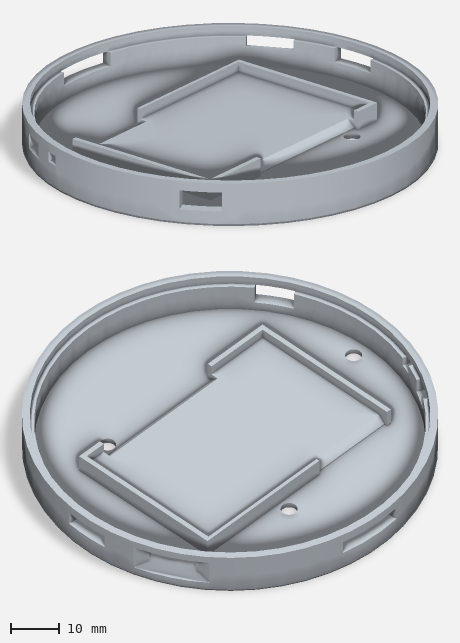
import cadquery as cq
import math

outer_radius = 42.6
height = 9.5
floor_top = 1.2
inner_radius = 80.1 / 2
lip_radius = 40.95
ledge_z = 7.5
bottom_chamfer_height = 0.5
bottom_chamfer_width = 0.25

frame_left, frame_right = -19.6, 16.8
frame_front, frame_back = -27.1, 27.1
frame_wall = 1.1
left_wall = 0.8
frame_top = 5.3
pad_top = 3.0
ramp_foot = 1.45
ramp_run = 1.7
left_gap_back = -6.0
right_gap_front, right_gap_back = -10.9, 20.95

hole_diameter = 3.5
hole_centres = [(0, -36.5), (18.0, 17.45), (-22.05, 5.5)]

wall_openings = [
    (83.2, 96.8, 4.4),
    (166.6, 186.9, 4.4),
    (233.6, 241.8, 4.2),
    (248.2, 252.0, 5.4),
    (294.8, 306.6, 3.3),
]

plug_angle = 117.2
plug_outer_width = 16.2
plug_inner_width = 10.0
plug_outer_bottom, plug_outer_top = 2.3, 7.9
plug_inner_bottom = 5.45
plug_throat_distance = 41.0
plug_sill_distance = 40.5
clearance = 0.85


def box(x_range, y_range, z_range):
    """Axis-aligned block between the given limits."""
    size = [limits[1] - limits[0] for limits in (x_range, y_range, z_range)]
    corner = (x_range[0], y_range[0], z_range[0])
    return cq.Workplane("XY").box(*size, centered=False).translate(corner)


def make_tray():
    """Shallow tray with a stepped rim and a chamfered lower edge."""
    profile = [
        (0, 0),
        (outer_radius - bottom_chamfer_width, 0),
        (outer_radius, bottom_chamfer_height),
        (outer_radius, height),
        (lip_radius, height),
        (lip_radius, ledge_z),
        (inner_radius, ledge_z),
        (inner_radius, floor_top),
        (0, floor_top),
    ]
    return cq.Workplane("XZ").polyline(profile).close().revolve(360, (0, 0), (0, 1))


def pad_ramp(edge_x, outward, y_range):
    """Cutter that slopes the pad from its top at the inside down to a small step at the floor."""
    outside_x = edge_x + outward * (frame_wall + clearance)
    profile = [
        (edge_x - outward * ramp_run, pad_top),
        (edge_x, ramp_foot),
        (edge_x, floor_top),
        (outside_x, floor_top),
        (outside_x, frame_top + clearance),
        (edge_x - outward * ramp_run, frame_top + clearance),
    ]
    cutter = cq.Workplane("XZ").polyline(profile).close().extrude(y_range[0] - y_range[1])
    return cutter.translate((0, y_range[0], 0))


def make_frame():
    """Frame and raised pad, opened by a ramp on the left and on the right."""
    inner_left = frame_left + left_wall
    inner_right = frame_right - frame_wall
    inner_front = frame_front + frame_wall
    inner_back = frame_back - frame_wall
    block = box((frame_left, frame_right), (frame_front, frame_back), (0, frame_top))
    recess = box((inner_left, inner_right), (inner_front, inner_back), (pad_top, frame_top))
    left_ramp = pad_ramp(inner_left, -1, (inner_front, left_gap_back))
    right_ramp = pad_ramp(inner_right, 1, (right_gap_front, right_gap_back))
    return block.cut(recess).cut(left_ramp).cut(right_ramp)


def wall_opening(start_angle, end_angle, sill):
    """Sector through the wall, from its sill up to the ledge height."""
    inside_radius = inner_radius - clearance
    outside_radius = outer_radius + clearance
    return (
        cq.Workplane("XZ")
        .moveTo(inside_radius, sill)
        .lineTo(outside_radius, sill)
        .lineTo(outside_radius, ledge_z)
        .lineTo(inside_radius, ledge_z)
        .close()
        .revolve(end_angle - start_angle, (0, 0), (0, 1))
        .rotate((0, 0, 0), (0, 0, 1), start_angle)
    )


def plug_section(distance, width, bottom, top):
    """Rectangle facing +X at the given distance from the tray axis."""
    corners = [(distance, y, z) for y, z in (
        (-width / 2, bottom),
        (width / 2, bottom),
        (width / 2, top),
        (-width / 2, top),
    )]
    return cq.Wire.makePolygon([cq.Vector(*corner) for corner in corners], close=True)


def make_plug_opening():
    """Recess flaring outwards, with a sill sloping up towards the inside."""
    mouth_distance = math.sqrt(outer_radius**2 - (plug_outer_width / 2) ** 2)
    inside_distance = math.sqrt(inner_radius**2 - (plug_inner_width / 2) ** 2)
    sill_slope = (plug_inner_bottom - plug_outer_bottom) / (mouth_distance - plug_sill_distance)
    throat_bottom = plug_inner_bottom - sill_slope * (plug_throat_distance - plug_sill_distance)
    outside = plug_section(
        outer_radius + clearance, plug_outer_width, plug_outer_bottom, plug_outer_top
    )
    mouth = plug_section(mouth_distance, plug_outer_width, plug_outer_bottom, plug_outer_top)
    throat = plug_section(plug_throat_distance, plug_inner_width, throat_bottom, ledge_z)
    sill = plug_section(plug_sill_distance, plug_inner_width, plug_inner_bottom, ledge_z)
    end = plug_section(inside_distance - clearance, plug_inner_width, plug_inner_bottom, ledge_z)
    sections = [outside, mouth, throat, sill, end]
    cutter = cq.Workplane("XY")
    for outer_section, inner_section in zip(sections, sections[1:]):
        cutter = cutter.union(cq.Workplane(cq.Solid.makeLoft([outer_section, inner_section], True)))
    return cutter.rotate((0, 0, 0), (0, 0, 1), plug_angle)


result = make_tray().union(make_frame())
for opening in wall_openings:
    result = result.cut(wall_opening(*opening))
result = result.cut(make_plug_opening())

floor_holes = cq.Workplane("XY").pushPoints(hole_centres).circle(hole_diameter / 2).extrude(height)
result = result.cut(floor_holes)